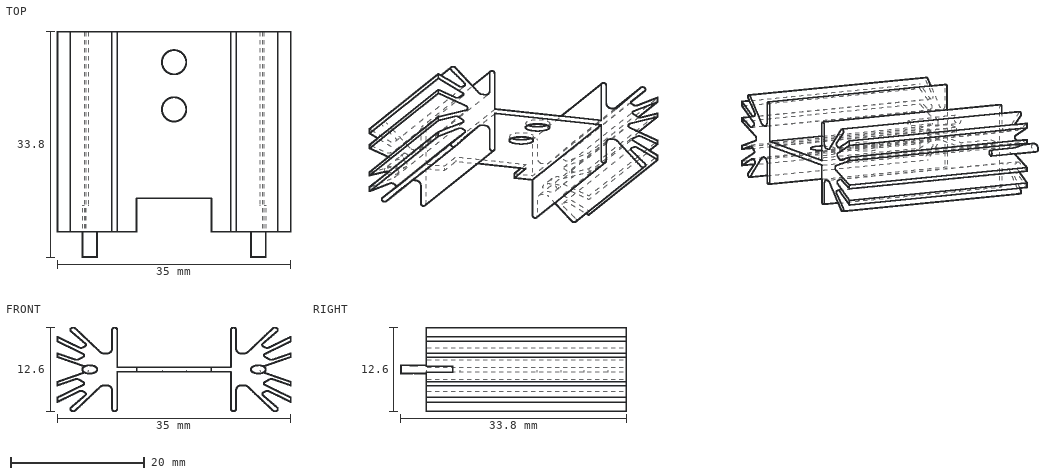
import cadquery as cq
import math

width = 35.0
body_length = 30.0
height = 12.55
half_width = width / 2
half_height = height / 2

web_thickness = 0.7
hole_diameter = 3.6
hole_edge_distance = 4.6
hole_spacing = 7.07
notch_width = 11.2
notch_depth = 5.0

wall_inner_x = 8.5
wall_thickness = 0.8
valley_z = 2.4
valley_wall_radius = 0.7
valley_fin_radius = 0.77
wall_outer_x = wall_inner_x + wall_thickness
wall_tip_radius = wall_thickness / 2

diagonal_angle = math.radians(43.5)
diagonal_start_x = 10.85
tip_thickness = 0.8
tip_upper_radius = 0.5
tip_lower_radius = 0.28

upper_fin_angle = math.radians(26)
upper_fin_top_z = 4.9
upper_fin_bottom_z = 4.2
lower_fin_angle = math.radians(19)
lower_fin_top_z = 2.4
lower_fin_bottom_z = 1.85

upper_gap_inner_x = 13.05
upper_gap_inner_z = 3.65
upper_gap_outer_x = 13.93
upper_gap_inner_radius = 0.2
upper_gap_outer_radius = 0.63
lower_gap_inner_x = 13.23
lower_gap_outer_x = 14.52
lower_gap_inner_radius = 0.2
lower_gap_outer_radius = 0.7
middle_groove_radius = 0.35

pin_x = 12.65
pin_width = 2.25
pin_height = 1.25
pin_projection = 3.8
pin_embedment = 4.0

touching_tolerance = 3.5e-07


def fin_face_z(x, side_z, angle):
    """Height at x of a sloping fin face that reaches side_z at the side of the part."""
    return side_z - (half_width - x) * math.tan(angle)


def upper_half_corners():
    """Corners (x, z, radius) of the right-hand profile above its plane of symmetry."""
    along = cq.Vector(math.cos(diagonal_angle), math.sin(diagonal_angle))
    across = cq.Vector(-along.y, along.x)
    diagonal_start = cq.Vector(diagonal_start_x, valley_z)
    straight_rise = half_height - valley_z - tip_upper_radius * (1 - across.y)
    length = straight_rise / along.y + tip_upper_radius
    tip_top = diagonal_start + along * length
    tip_bottom = tip_top - across * tip_thickness

    upper_gap_outer_z = fin_face_z(upper_gap_outer_x, upper_fin_top_z, upper_fin_angle)
    lower_gap_inner_z = fin_face_z(lower_gap_inner_x, upper_fin_bottom_z, upper_fin_angle)
    lower_gap_outer_z = fin_face_z(lower_gap_outer_x, lower_fin_top_z, lower_fin_angle)
    return [
        (wall_inner_x, half_height, wall_tip_radius),
        (wall_outer_x, half_height, wall_tip_radius),
        (wall_outer_x, valley_z, valley_wall_radius),
        (diagonal_start_x, valley_z, valley_fin_radius),
        (tip_top.x, tip_top.y, tip_upper_radius),
        (tip_bottom.x, tip_bottom.y, tip_lower_radius),
        (upper_gap_inner_x, upper_gap_inner_z, upper_gap_inner_radius),
        (upper_gap_outer_x, upper_gap_outer_z, upper_gap_outer_radius),
        (half_width, upper_fin_top_z, 0),
        (half_width, upper_fin_bottom_z, 0),
        (lower_gap_inner_x, lower_gap_inner_z, lower_gap_inner_radius),
        (lower_gap_outer_x, lower_gap_outer_z, lower_gap_outer_radius),
        (half_width, lower_fin_top_z, 0),
        (half_width, lower_fin_bottom_z, 0),
    ]


def corner_arc(before, corner, after, radius):
    """Start, middle and end of the arc that rounds the corner between its two neighbours."""
    to_before = (before - corner).normalized()
    to_after = (after - corner).normalized()
    half_angle = to_before.getAngle(to_after) / 2
    setback = radius / math.tan(half_angle)
    bisector = (to_before + to_after).normalized()
    middle = corner + bisector * (radius / math.sin(half_angle) - radius)
    return corner + to_before * setback, middle, corner + to_after * setback


def rounded_outline(corners):
    """Closed outline on the XZ plane through corners (x, z, radius), rounded where radius > 0.

    The first corner must be sharp. Arcs that touch are joined without a line between them.
    """
    points = [cq.Vector(x, z) for x, z, _ in corners]
    position = points[0]
    outline = cq.Workplane("XZ").moveTo(position.x, position.y)
    for i in range(1, len(corners)):
        radius = corners[i][2]
        after = points[(i + 1) % len(points)]
        start, middle, end = corner_arc(points[i - 1], points[i], after, radius)
        if (start - position).Length > touching_tolerance:
            outline = outline.lineTo(start.x, start.y)
        if radius > 0:
            outline = outline.threePointArc((middle.x, middle.y), (end.x, end.y))
        position = end
    return outline.close()


def finned_side():
    """Right-hand finned extrusion, symmetric about the XY plane."""
    upper = upper_half_corners()
    lower = [(x, -z, radius) for x, z, radius in reversed(upper)]
    groove_x = half_width - lower_fin_bottom_z / math.tan(lower_fin_angle)
    wall_middle = (wall_inner_x, 0, 0)
    groove = (groove_x, 0, middle_groove_radius)
    corners = [wall_middle] + upper + [groove] + lower
    return rounded_outline(corners).extrude(-body_length)


def pin():
    """Right-hand pin, partly buried in the body behind its front face."""
    return (
        cq.Workplane("XZ", origin=(pin_x, -pin_projection, 0))
        .ellipse(pin_width / 2, pin_height / 2)
        .extrude(-(pin_projection + pin_embedment))
    )


def web():
    """Flat plate between the finned sides, with a front notch and two holes."""
    plate = cq.Workplane("XY").box(
        2 * wall_outer_x, body_length, web_thickness, centered=(True, False, True)
    )
    notch = cq.Workplane("XY").box(
        notch_width, notch_depth, web_thickness, centered=(True, False, True)
    )
    first_hole_y = body_length - hole_edge_distance
    holes = (
        cq.Workplane("XY", origin=(0, 0, -web_thickness / 2))
        .pushPoints([(0, first_hole_y), (0, first_hole_y - hole_spacing)])
        .circle(hole_diameter / 2)
        .extrude(web_thickness)
    )
    return plate.cut(notch).cut(holes)


right_side = finned_side().union(pin())
left_side = right_side.mirror("YZ")
result = web().union(right_side).union(left_side)